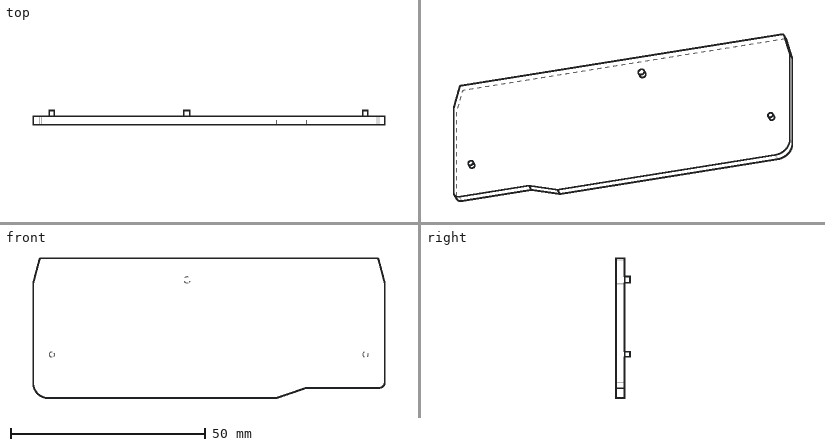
import cadquery as cq

length = 90.5
height = 36.0
total_depth = 3.7
pin_length = 1.45
thickness = total_depth - pin_length

slope_run = 1.7
slope_drop = 6.5
slope_top_radius = 0.5
slope_bottom_radius = 0.9

step_height = 2.6
ramp_start = 62.5
ramp_end = 70.2

left_corner_radius = 4.0
right_corner_radius = 1.5

small_pin_diameter = 1.4
large_pin_diameter = 1.6
left_pin_x = 4.8
middle_pin_x = 39.55
right_pin_x = 85.4
lower_pin_z = height - 24.7
upper_pin_z = height - 5.5


def round_edge(body, x, z, radius):
    """Round the plate edge that runs along Y through (x, z)."""
    nearest = cq.selectors.NearestToPointSelector((x, thickness / 2, z))
    return body.edges("|Y").edges(nearest).fillet(radius)


def make_plate():
    shoulder_z = height - slope_drop
    outline = [
        (0, 0),
        (ramp_start, 0),
        (ramp_end, step_height),
        (length, step_height),
        (length, shoulder_z),
        (length - slope_run, height),
        (slope_run, height),
        (0, shoulder_z),
    ]
    plate = cq.Workplane("XZ").polyline(outline).close().extrude(-thickness)
    plate = round_edge(plate, 0, 0, left_corner_radius)
    plate = round_edge(plate, length, step_height, right_corner_radius)
    for side_x, top_x in [(0, slope_run), (length, length - slope_run)]:
        plate = round_edge(plate, side_x, shoulder_z, slope_bottom_radius)
        plate = round_edge(plate, top_x, height, slope_top_radius)
    return plate


def make_pin(x, z, diameter):
    """Pin that starts at the front face and stands out of the back face."""
    return cq.Workplane("XZ").center(x, z).circle(diameter / 2).extrude(-total_depth)


result = make_plate()
for pin_x, pin_z, pin_diameter in [
    (left_pin_x, lower_pin_z, small_pin_diameter),
    (middle_pin_x, upper_pin_z, large_pin_diameter),
    (right_pin_x, lower_pin_z, small_pin_diameter),
]:
    result = result.union(make_pin(pin_x, pin_z, pin_diameter))
result = result.clean()